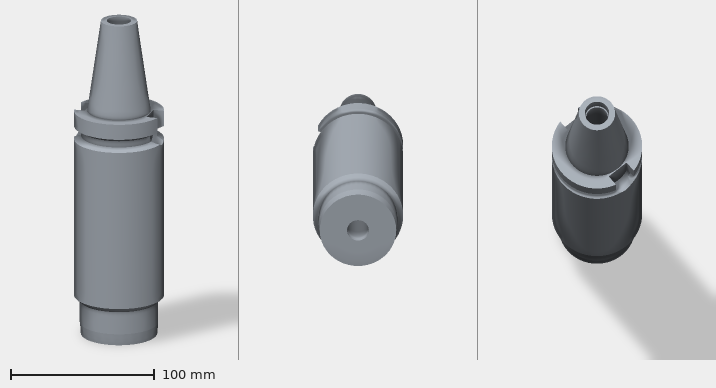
import cadquery as cq

total_length = 230.0
nose_taper_height = 8.3
chamfer_bottom_z = 24.6
chamfer_top_z = 28.3
groove_lower_edge_z = 143.4
groove_lower_floor_z = 145.7
groove_upper_floor_z = 150.3
groove_upper_edge_z = 153.0
shank_length = 66.0
flange_top_z = total_length - shank_length
gauge_collar_height = 0.7

body_radius = 63.0 / 2
nose_radius = 27.4
nose_tip_radius = 26.7
groove_radius = 26.5
gauge_radius = 22.0
shank_tip_radius = 12.7

bore_radius = 7.5
counterbore_radius = 8.5
counterbore_depth = 8.5

slot_width = 16.0
slot_floor_distance = 22.5
slot_bottom_z = 142.0


def turned_body():
    """Revolve the half profile of nose, body, gripping groove, flange and shank."""
    profile = [
        (0, 0),
        (nose_tip_radius, 0),
        (nose_radius, nose_taper_height),
        (nose_radius, chamfer_bottom_z),
        (body_radius, chamfer_top_z),
        (body_radius, groove_lower_edge_z),
        (groove_radius, groove_lower_floor_z),
        (groove_radius, groove_upper_floor_z),
        (body_radius, groove_upper_edge_z),
        (body_radius, flange_top_z),
        (gauge_radius, flange_top_z),
        (gauge_radius, flange_top_z + gauge_collar_height),
        (shank_tip_radius, total_length),
        (0, total_length),
    ]
    return cq.Workplane("XZ").polyline(profile).close().revolve(360, (0, 0), (0, 1))


def stepped_bore():
    """Through bore with a wider, shallow counterbore at the shank tip."""
    through = cq.Workplane("XY").circle(bore_radius).extrude(total_length)
    counterbore = (
        cq.Workplane("XY")
        .workplane(offset=total_length - counterbore_depth)
        .circle(counterbore_radius)
        .extrude(counterbore_depth)
    )
    return through.union(counterbore)


def drive_slot(side):
    """Round-bottomed slot, open at the flange top; side is -1 or +1 along X."""
    half_width = slot_width / 2
    arc_center_z = slot_bottom_z + half_width
    return (
        cq.Workplane("YZ")
        .workplane(offset=side * slot_floor_distance)
        .moveTo(-half_width, flange_top_z)
        .lineTo(-half_width, arc_center_z)
        .threePointArc((0, slot_bottom_z), (half_width, arc_center_z))
        .lineTo(half_width, flange_top_z)
        .close()
        .extrude(side * body_radius)
    )


result = turned_body().cut(stepped_bore())
for side in (-1, 1):
    result = result.cut(drive_slot(side))